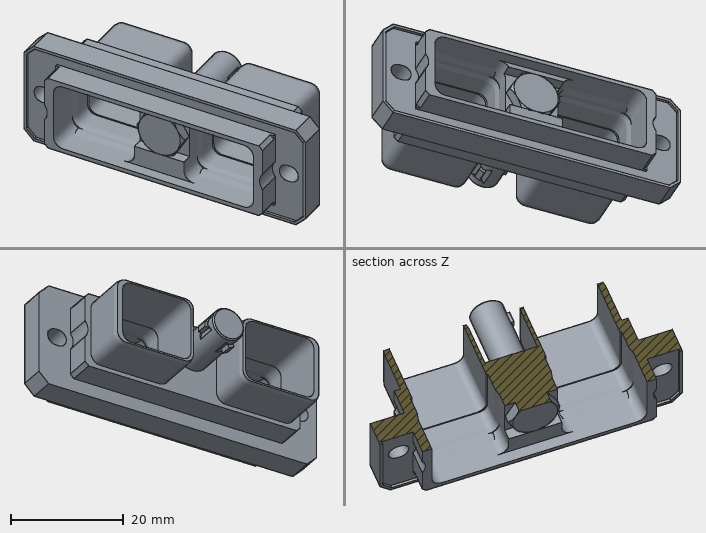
import cadquery as cq
import math


FLANGE_WIDTH = 57.45
FLANGE_HEIGHT = 20.33
FLANGE_FRONT = 4.1
FLANGE_THICKNESS = 5.0
FLANGE_CHAMFER = 2.0
FLANGE_RIM = 0.55
FLANGE_RECESS = 0.5
HOLE_SPACING = 50.0
HOLE_LENGTH = 3.85
HOLE_HEIGHT = 3.3

BODY_WIDTH = 44.5
BODY_HEIGHT = 15.0
BODY_REAR = 14.2
BODY_CHAMFER = 0.75
NOTCH_CHORD = 3.3
NOTCH_DEPTH = 0.6

TOWER_CENTER = 12.98
TOWER_WIDTH = 16.1
TOWER_HEIGHT = 13.3
TOWER_REAR = 23.05
TOWER_RADIUS = 2.0
TOWER_TIP_LENGTH = 0.85
TOWER_TIP_INSET = 0.2

CAVITY_HEIGHT = 13.3
CAVITY_RADIUS = 2.0
PASSAGE_CENTER = 12.72
PASSAGE_WIDTH = 15.35
MOUTH_WIDTH = 2 * PASSAGE_CENTER + PASSAGE_WIDTH
MOUTH_DEPTH = 2.1
STEP_HEIGHT = 13.0
STEP_RAMP_START = 4.6
STEP_RAMP_END = 6.08
TAPER_START = 6.9
TAPER_END = 8.05
SLEEVE_WIDTH = 14.65
SLEEVE_HEIGHT = 12.7
SLEEVE_RADIUS = 1.8
LIP_START = 11.7
WINDOW_WIDTH = 14.1
WINDOW_HEIGHT = 12.25
WINDOW_RADIUS = 1.8

BOLT_Z = 1.45
HEX_SIDES = 6
HEAD_FLATS = 8.5
HEAD_CONE_ANGLE = 45.0
HEAD_HEIGHT = 2.05
POST_DIAMETER = 6.4
POST_REAR = 26.65
POST_CHAMFER = 0.25

LUG_ANGLES = (0.0, -120.0)
LUG_SETBACK = 3.15
LUG_Y = POST_REAR - LUG_SETBACK
LUG_LENGTH = 2.2
LUG_WIDTH = 1.15
LUG_REACH = 3.7
FLAT_DISTANCE = 2.83
FLAT_LENGTH = 3.8


def plane_at(y, x=0.0, z=0.0):
    """Plane with local axes along X and Z; negative extrusions run toward +Y."""
    return cq.Workplane(cq.Plane(origin=(x, y, z), xDir=(1, 0, 0), normal=(0, -1, 0)))


def rounded_rect(width, height, radius):
    return cq.Sketch().rect(width, height).vertices().fillet(radius)


def block(width, height, y_start, y_end):
    return plane_at(y_start).rect(width, height).extrude(y_start - y_end)


def rounded_block(x, outline, y_start, y_end):
    return plane_at(y_start, x).placeSketch(outline).extrude(y_start - y_end)


def rounded_taper(x, start_outline, end_outline, y_start, y_end):
    shifted = end_outline.moved(cq.Location(cq.Vector(0, 0, y_start - y_end)))
    return plane_at(y_start, x).placeSketch(start_outline, shifted).loft()


def make_flange():
    flange_rear = FLANGE_FRONT + FLANGE_THICKNESS
    flange = block(FLANGE_WIDTH, FLANGE_HEIGHT, FLANGE_FRONT, flange_rear)
    flange = flange.edges("|Y").chamfer(FLANGE_CHAMFER)
    recess = flange.faces("<Y").wires().toPending().offset2D(-FLANGE_RIM).extrude(
        -FLANGE_RECESS, combine=False
    )
    holes = (
        plane_at(FLANGE_FRONT)
        .pushPoints([(-HOLE_SPACING / 2, 0), (HOLE_SPACING / 2, 0)])
        .slot2D(HOLE_LENGTH, HOLE_HEIGHT)
        .extrude(-FLANGE_THICKNESS)
    )
    return flange.cut(recess).cut(holes)


def make_body():
    """Rectangular body with chamfered corners, square inside the flange, and a round groove down each end."""
    flange_rear = FLANGE_FRONT + FLANGE_THICKNESS
    body = block(BODY_WIDTH, BODY_HEIGHT, 0, BODY_REAR).edges("|Y").chamfer(BODY_CHAMFER)
    body = body.union(block(BODY_WIDTH, BODY_HEIGHT, FLANGE_FRONT, flange_rear))
    notch_radius = ((NOTCH_CHORD / 2) ** 2 + NOTCH_DEPTH**2) / (2 * NOTCH_DEPTH)
    notch_x = BODY_WIDTH / 2 - NOTCH_DEPTH + notch_radius
    notches = plane_at(0).pushPoints([(-notch_x, 0), (notch_x, 0)]).circle(notch_radius).extrude(-BODY_REAR)
    return body.cut(notches)


def make_tower(x):
    tip_start = TOWER_REAR - TOWER_TIP_LENGTH
    outline = rounded_rect(TOWER_WIDTH, TOWER_HEIGHT, TOWER_RADIUS)
    tip_outline = rounded_rect(
        TOWER_WIDTH - 2 * TOWER_TIP_INSET,
        TOWER_HEIGHT - 2 * TOWER_TIP_INSET,
        TOWER_RADIUS - TOWER_TIP_INSET,
    )
    straight = rounded_block(x, outline, BODY_REAR, tip_start)
    return straight.union(rounded_taper(x, outline, tip_outline, tip_start, TOWER_REAR))


def make_stepped_slab():
    """Full-width slab whose flat top and bottom ramp inward part way along the passages."""
    half_front = CAVITY_HEIGHT / 2
    half_step = STEP_HEIGHT / 2
    return (
        cq.Workplane("YZ", origin=(-BODY_WIDTH / 2, 0, 0))
        .moveTo(0, -half_front)
        .lineTo(STEP_RAMP_START, -half_front)
        .lineTo(STEP_RAMP_END, -half_step)
        .lineTo(TAPER_START, -half_step)
        .lineTo(TAPER_START, half_step)
        .lineTo(STEP_RAMP_END, half_step)
        .lineTo(STEP_RAMP_START, half_front)
        .lineTo(0, half_front)
        .close()
        .extrude(BODY_WIDTH)
    )


def make_passage(x):
    """Passage that narrows by floor ramps, an all-round taper and a lip at the window."""
    entry = rounded_rect(PASSAGE_WIDTH, CAVITY_HEIGHT, CAVITY_RADIUS)
    taper_front = rounded_rect(PASSAGE_WIDTH, STEP_HEIGHT, CAVITY_RADIUS)
    taper_rear = rounded_rect(SLEEVE_WIDTH, SLEEVE_HEIGHT, SLEEVE_RADIUS)
    window = rounded_rect(WINDOW_WIDTH, WINDOW_HEIGHT, WINDOW_RADIUS)
    return (
        rounded_block(x, entry, 0, TAPER_START)
        .intersect(make_stepped_slab())
        .union(rounded_taper(x, taper_front, taper_rear, TAPER_START, TAPER_END))
        .union(rounded_block(x, taper_rear, TAPER_END, LIP_START))
        .union(rounded_block(x, window, LIP_START, TOWER_REAR))
    )


def make_mouth():
    """Shared front opening and the channel across the divider that holds the bolt head."""
    mouth = rounded_block(0, rounded_rect(MOUTH_WIDTH, CAVITY_HEIGHT, CAVITY_RADIUS), 0, MOUTH_DEPTH)
    channel = plane_at(0, z=BOLT_Z).rect(2 * PASSAGE_CENTER, HEAD_FLATS).extrude(-MOUTH_DEPTH - HEAD_HEIGHT)
    return mouth.union(channel)


def make_head():
    """Hex head whose front corners are turned off by a cone."""
    hex_diameter = HEAD_FLATS / math.cos(math.pi / HEX_SIDES)
    head = plane_at(MOUTH_DEPTH, z=BOLT_Z).polygon(HEX_SIDES, hex_diameter).extrude(-HEAD_HEIGHT)
    cone_base = HEAD_FLATS / 2 + HEAD_HEIGHT / math.tan(math.radians(HEAD_CONE_ANGLE))
    cone = cq.Solid.makeCone(
        HEAD_FLATS / 2,
        cone_base,
        HEAD_HEIGHT,
        cq.Vector(0, MOUTH_DEPTH, BOLT_Z),
        cq.Vector(0, 1, 0),
    )
    return head.intersect(cq.Workplane(cone))


def lug_plane(distance, angle):
    """Plane facing out of the post at the given angle; local x runs along the post."""
    direction = cq.Vector(math.cos(math.radians(angle)), 0, math.sin(math.radians(angle)))
    origin = cq.Vector(0, LUG_Y, BOLT_Z) + direction * distance
    return cq.Workplane(cq.Plane(origin=origin, xDir=(0, 1, 0), normal=direction))


def make_post():
    post = plane_at(BODY_REAR, z=BOLT_Z).circle(POST_DIAMETER / 2).extrude(BODY_REAR - POST_REAR)
    post = post.faces(">Y").edges().chamfer(POST_CHAMFER)
    half_chord = math.sqrt((POST_DIAMETER / 2) ** 2 - FLAT_DISTANCE**2)
    for angle in LUG_ANGLES:
        flat = (
            lug_plane(FLAT_DISTANCE, angle)
            .moveTo(-FLAT_LENGTH / 2, -half_chord)
            .lineTo(FLAT_LENGTH / 2, -half_chord)
            .lineTo(LUG_LENGTH / 2, 0)
            .lineTo(FLAT_LENGTH / 2, half_chord)
            .lineTo(-FLAT_LENGTH / 2, half_chord)
            .lineTo(-LUG_LENGTH / 2, 0)
            .close()
            .extrude(LUG_REACH - FLAT_DISTANCE)
        )
        lug = lug_plane(0, angle).rect(LUG_LENGTH, LUG_WIDTH).extrude(LUG_REACH)
        post = post.cut(flat).union(lug)
    return post


result = make_flange().union(make_body())
for side in (-1, 1):
    result = result.union(make_tower(side * TOWER_CENTER))
for side in (-1, 1):
    result = result.cut(make_passage(side * PASSAGE_CENTER))
result = result.cut(make_mouth()).union(make_head()).union(make_post())